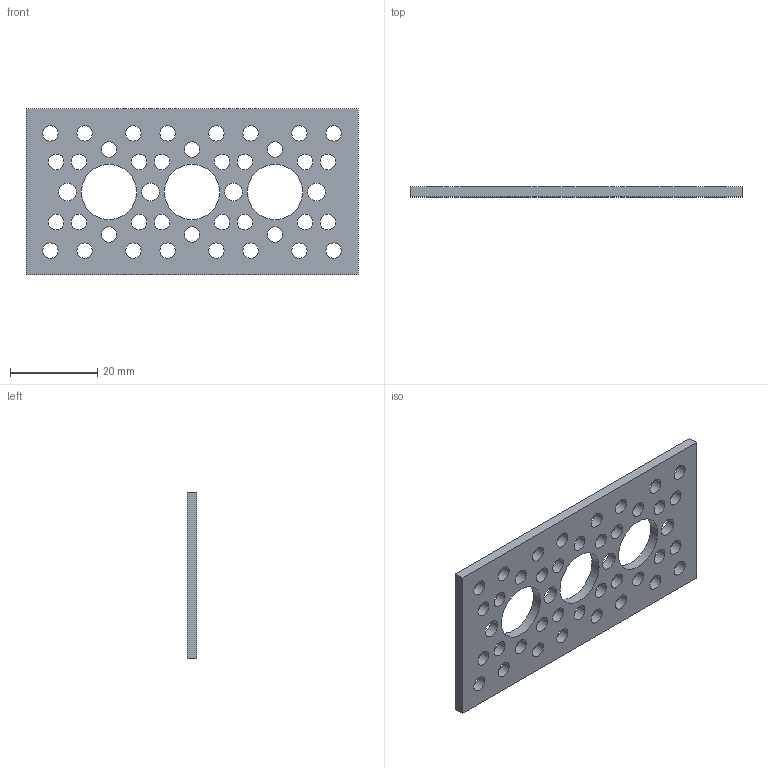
import cadquery as cq
import math

INCH = 25.4

length = 3.0 * INCH
height = 1.5 * INCH
thickness = 0.09 * INCH

hub_count = 3
hub_pitch = 0.75 * INCH
bore_diameter = 0.5 * INCH
bolt_hole_diameter = 0.14 * INCH
link_hole_diameter = 0.16 * INCH
inner_circle_radius = 0.77 * INCH / 2
outer_circle_radius = 1.5 * INCH / 2

inner_diagonal = inner_circle_radius * math.cos(math.radians(45))
outer_diagonal = outer_circle_radius * math.cos(math.radians(45))


def centred_row(count):
    """X positions of evenly pitched points, centred on the plate."""
    return [(i - (count - 1) / 2) * hub_pitch for i in range(count)]


hub_xs = centred_row(hub_count)
link_xs = centred_row(hub_count + 1)
pattern_xs = centred_row(hub_count + 2)


def diagonal_points(offset):
    """Diagonal bolt circle holes of every hub that land on the plate."""
    points = []
    for hub_x in pattern_xs:
        for x in (hub_x - offset, hub_x + offset):
            if abs(x) < length / 2:
                points += [(x, -offset), (x, offset)]
    return points


def drill(plate, points, diameter):
    """Cut round through holes at the given (x, z) points."""
    return plate.faces("<Y").workplane(origin=(0, 0, 0)).pushPoints(points).hole(diameter)


result = cq.Workplane("XY").box(length, thickness, height)

result = drill(result, [(x, 0) for x in hub_xs], bore_diameter)
result = drill(result, [(x, 0) for x in link_xs], link_hole_diameter)

vertical_points = [(x, side * inner_circle_radius) for x in hub_xs for side in (-1, 1)]
result = drill(result, vertical_points, bolt_hole_diameter)

result = drill(result, diagonal_points(inner_diagonal), bolt_hole_diameter)
result = drill(result, diagonal_points(outer_diagonal), bolt_hole_diameter)